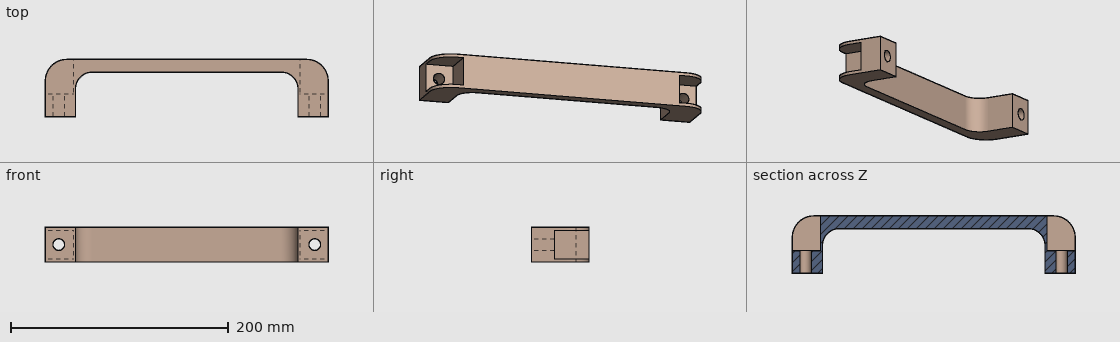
import cadquery as cq

length = 260.0
depth = 53.0
height = 32.0

bar_thickness = 12.0
leg_width = 28.0
outer_radius = 20.0
inner_radius = 15.0

lip_thickness = 3.0
foot_thickness = 21.0
pocket_length = 26.0

hole_diameter = 10.5
hole_inset = 12.5


def handle_body():
    """U-shaped handle with rounded corners, its feet on the plane Y = 0."""
    block = (
        cq.Workplane("XY")
        .box(length, depth, height, centered=(True, False, True))
        .edges("|Z and >Y")
        .fillet(outer_radius)
    )
    grip_opening = (
        cq.Workplane("XY")
        .box(length - 2 * leg_width, depth - bar_thickness, height, centered=(True, False, True))
        .edges("|Z and >Y")
        .fillet(inner_radius)
    )
    return block.cut(grip_opening)


def corner_pocket(side):
    """Pocket open to the end and the back, leaving a lip above and below."""
    center_x = side * (length - pocket_length) / 2
    return (
        cq.Workplane("XY")
        .box(pocket_length, depth - foot_thickness, height - 2 * lip_thickness, centered=(True, False, True))
        .translate((center_x, foot_thickness, 0))
    )


def mounting_hole(side):
    """Hole along Y from the foot face into the corner pocket."""
    center_x = side * (length / 2 - hole_inset)
    return (
        cq.Workplane("XZ")
        .center(center_x, 0)
        .circle(hole_diameter / 2)
        .extrude(-foot_thickness)
    )


result = handle_body()
for end in (-1, 1):
    result = result.cut(corner_pocket(end))
    result = result.cut(mounting_hole(end))